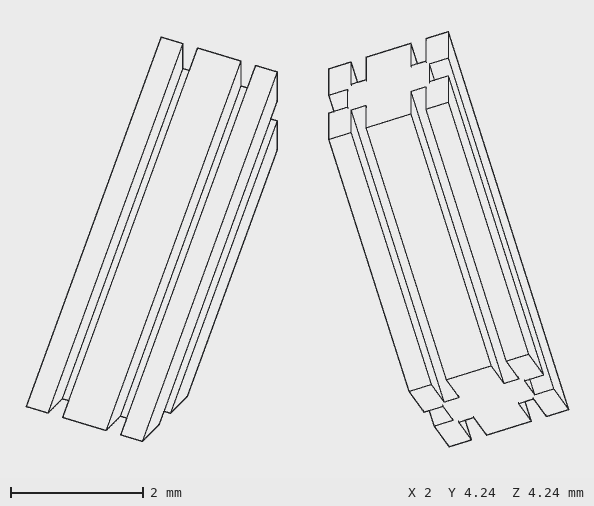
import cadquery as cq
import math

span = 4.24
width = 2.0
thickness = width / 2
cell = width / 2
slot_width = cell / 4
slot_depth = 0.32


def sloping_layer(upper, lower, x_start, x_length):
    """Layer between two depths below the top face, cut off by the two end planes."""
    upper_drop = upper * math.sqrt(2)
    lower_drop = lower * math.sqrt(2)
    return (
        cq.Workplane("YZ", origin=(x_start, 0, 0))
        .moveTo(upper_drop, 0)
        .lineTo(span, span - upper_drop)
        .lineTo(span, span - lower_drop)
        .lineTo(lower_drop, 0)
        .close()
        .extrude(x_length)
    )


result = sloping_layer(0, thickness, 0, width)

for slot_center in (cell / 2, width - cell / 2):
    slot_start = slot_center - slot_width / 2
    for upper in (0, thickness - slot_depth):
        result = result.cut(sloping_layer(upper, upper + slot_depth, slot_start, slot_width))

side_upper = (thickness - slot_width) / 2
for x_start in (0, width - slot_depth):
    result = result.cut(sloping_layer(side_upper, side_upper + slot_width, x_start, slot_depth))